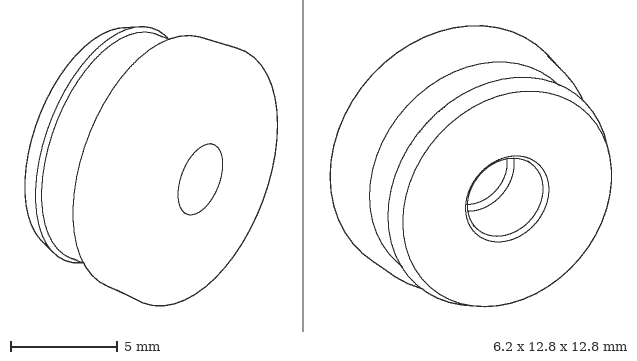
import cadquery as cq
import math

outer_radius = 6.4
total_length = 6.2
plug_length = 3.2

shaft_radius = 5.65
barb_tip_radius = 5.52
barb_peak_radius = 5.85
barb_peak_x = 0.88
barb_back_length = barb_peak_radius - shaft_radius
bore_radius = 2.0
bore_chamfer = 0.2

cap_hole_radius = 1.75
cap_taper = math.radians(3.7)
front_round = 0.4
back_round = 0.5


def make_plug():
    """Shaft with a barbed free end and a chamfered bore."""
    profile = (
        cq.Workplane("XY")
        .moveTo(0, bore_radius + bore_chamfer)
        .lineTo(0, barb_tip_radius)
        .lineTo(barb_peak_x, barb_peak_radius)
        .lineTo(barb_peak_x + barb_back_length, shaft_radius)
        .lineTo(plug_length, shaft_radius)
        .lineTo(plug_length, bore_radius)
        .lineTo(bore_chamfer, bore_radius)
        .close()
    )
    return profile.revolve(360, (0, 0, 0), (1, 0, 0))


def make_cap():
    """Tapered, rounded head whose hole narrows from the bore through a concave round."""
    back_corner_radius = outer_radius + back_round * (1 / math.cos(cap_taper) - 1 + math.tan(cap_taper))
    front_corner_radius = back_corner_radius - (total_length - plug_length) * math.tan(cap_taper)
    hole_round = bore_radius - cap_hole_radius
    round_offset = hole_round * math.sqrt(0.5)
    round_middle = (plug_length + round_offset, cap_hole_radius + round_offset)
    round_end = (plug_length + hole_round, cap_hole_radius)

    profile = (
        cq.Workplane("XY")
        .moveTo(plug_length, bore_radius)
        .lineTo(plug_length, front_corner_radius)
        .lineTo(total_length, back_corner_radius)
        .lineTo(total_length, cap_hole_radius)
        .lineTo(*round_end)
        .threePointArc(round_middle, (plug_length, bore_radius))
        .close()
    )
    cap = profile.revolve(360, (0, 0, 0), (1, 0, 0))
    outer_edge = cq.selectors.RadiusNthSelector(-1)
    cap = cap.edges(outer_edge).fillet(back_round)
    return cap.faces("<X").edges(outer_edge).fillet(front_round)


plug = make_plug()
cap = make_cap()
result = cq.Compound.makeCompound([plug.val(), cap.val()])